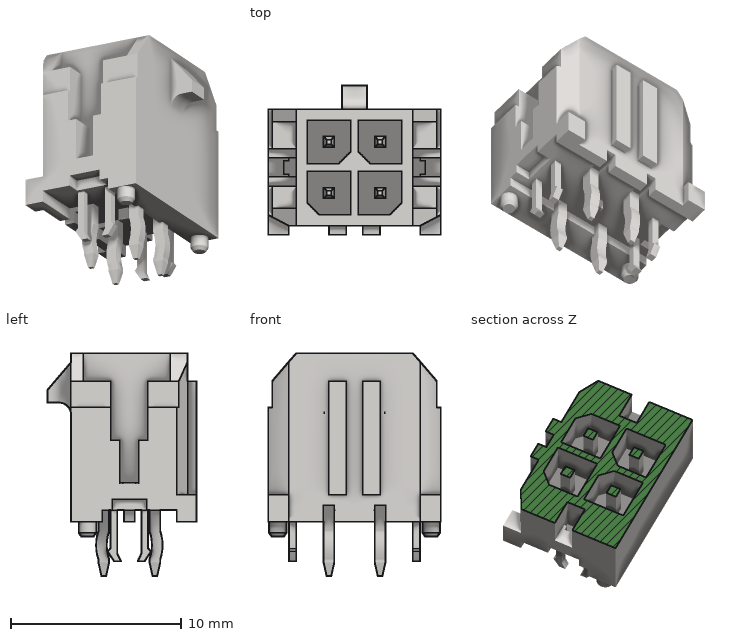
import cadquery as cq
import math


ROWS = 2
COLUMNS = 2
PITCH = 3.0
PIN_SIZE = 0.64
PIN_TIP_SIZE = 0.28
PIN_TOP = 7.0
PIN_TIP_LENGTH = 0.8
TAIL_BOTTOM = -3.19
BEND_START = -0.55
BEND_END = -2.2
BEND_OFFSET = 0.14

OVERALL_WIDTH = 10.15
UPPER_WIDTH = 9.68
CORE_WIDTH = 6.84
DEPTH = 6.85
HEIGHT = 9.9
UPPER_STEP_Z = 6.71
SHOULDER_Z = 8.25
FRONT_FLAT_WIDTH = 7.7
CORNER_DEPTH = 0.645
BACK_WING_INNER_Y = 2.69
FRONT_WING_INNER_Y = -2.4

SOCKET_SIZE = 2.55
SOCKET_CORNER = 0.7
SOCKET_FLOOR = 2.0

CUT_MARGIN = 1.0
UPPER_CHANNEL_WIDTH = 2.19
UPPER_CHANNEL_FLOOR = 4.79
LOWER_CHANNEL_WIDTH = 1.12
LOWER_CHANNEL_FLOOR = 2.29

STANDOFF = 0.68
CLEARANCE_BACK_Y = 1.58
PIN_SLOT_TOP = 0.97

FRONT_PROJECTION = 0.53
FOOT_HEIGHT = 1.59
RIB_INNER_X = 0.47
RIB_WIDTH = 1.03

LATCH_WIDTH = 1.48
LATCH_REACH = 1.39
LATCH_TOP = 9.36
LATCH_NOSE_TOP = 7.73
LATCH_NOSE_BOTTOM = 6.99
LATCH_FILLET = 0.7

PEG_X = 4.5
PEG_Y = 2.46
PEG_DIAMETER = 1.04
PEG_TIP_DIAMETER = 0.72
PEG_LENGTH = 0.87
PEG_TIP_LENGTH = 0.23

CLIP_OUTER_X = 3.85
CLIP_THICKNESS = 0.44
CLIP_LEG_OUTER_Y = 1.11
CLIP_LEG_WIDTH = 0.41
CLIP_BARB_Y = 1.28
CLIP_BARB_TOP = -1.57
CLIP_BARB_Z = -1.74
CLIP_BOTTOM = -2.33
CLIP_TOE_Y = 0.48
CLIP_INNER_BEND_Z = -1.87
CLIP_POCKET_WIDTH = 2.02
CLIP_POCKET_HEIGHT = 0.63
CLIP_POCKET_INNER_X = 4.145
CLIP_NOTCH_WIDTH = 0.78
CLIP_SEAT_FLOOR = 1.8

SIDES = (-1, 1)
half_width = OVERALL_WIDTH / 2
half_upper_width = UPPER_WIDTH / 2
half_core_width = CORE_WIDTH / 2
front_y = -DEPTH / 2
back_y = DEPTH / 2
projection_y = front_y - FRONT_PROJECTION
corner_y = front_y + CORNER_DEPTH


def box(x_range, y_range, z_range):
    """Box spanning the given pairs of limits."""
    size = [limits[1] - limits[0] for limits in (x_range, y_range, z_range)]
    corner = (x_range[0], y_range[0], z_range[0])
    return cq.Workplane("XY").box(*size, centered=False).translate(corner)


def centred(width, middle=0.0):
    """Pair of limits placed evenly about a middle value."""
    return (middle - width / 2, middle + width / 2)


def outward(side, inner, outer):
    """Pair of X limits on one side of the part."""
    return tuple(sorted((side * inner, side * outer)))


def extrude_along_x(points, x_range):
    """Prism whose (Y, Z) outline is closed by straight edges."""
    profile = cq.Workplane("YZ", origin=(x_range[0], 0, 0)).polyline(points).close()
    return profile.extrude(x_range[1] - x_range[0])


def contact_places():
    """X and Y of every contact centre."""
    for column in range(COLUMNS):
        for row in range(ROWS):
            x = (column - (COLUMNS - 1) / 2) * PITCH
            y = (row - (ROWS - 1) / 2) * PITCH
            yield x, y


def housing_shell():
    """Housing outline: stepped, sloped shoulders and two cut front corners."""
    silhouette = [
        (half_width, 0),
        (half_width, UPPER_STEP_Z),
        (half_upper_width, UPPER_STEP_Z),
        (half_upper_width, SHOULDER_Z),
        (half_core_width, HEIGHT),
    ]
    mirrored = [(-x, z) for x, z in reversed(silhouette)]
    shell = (
        cq.Workplane("XZ", origin=(0, back_y, 0))
        .polyline(silhouette + mirrored)
        .close()
        .extrude(DEPTH)
    )
    plan = [
        (half_width, back_y),
        (half_width, corner_y),
        (FRONT_FLAT_WIDTH / 2, front_y),
        (-FRONT_FLAT_WIDTH / 2, front_y),
        (-half_width, corner_y),
        (-half_width, back_y),
    ]
    return shell.intersect(cq.Workplane("XY").polyline(plan).close().extrude(HEIGHT))


def side_channel(side):
    """Space outside the core between the wings, narrowing in steps downwards."""
    x_range = outward(side, half_core_width, half_width + CUT_MARGIN)
    top = HEIGHT + CUT_MARGIN
    above_shoulder = box(x_range, (FRONT_WING_INNER_Y, BACK_WING_INNER_Y), (SHOULDER_Z, top))
    upper = box(x_range, centred(UPPER_CHANNEL_WIDTH), (UPPER_CHANNEL_FLOOR, top))
    lower = box(x_range, centred(LOWER_CHANNEL_WIDTH), (LOWER_CHANNEL_FLOOR, top))
    return above_shoulder.union(upper).union(lower)


def clip_pocket(side):
    """Pocket in the side face, just above the passage under the housing."""
    return box(
        outward(side, CLIP_POCKET_INNER_X, half_width),
        centred(CLIP_POCKET_WIDTH),
        (STANDOFF, STANDOFF + CLIP_POCKET_HEIGHT),
    )


def clip_seat(side):
    """Recess in the floor of a side channel, with a narrower notch facing out."""
    z_range = (CLIP_SEAT_FLOOR, LOWER_CHANNEL_FLOOR)
    seat = box(
        outward(side, half_core_width, CLIP_OUTER_X), centred(LOWER_CHANNEL_WIDTH), z_range
    )
    notch = box(
        outward(side, half_core_width, CLIP_POCKET_INNER_X), centred(CLIP_NOTCH_WIDTH), z_range
    )
    return seat.union(notch)


def socket(x, y):
    """Socket with one polarising corner on its front side."""
    is_left_column = x < 0
    is_front_row = y < 0
    corner_edge = "|Z and <X and <Y" if is_left_column == is_front_row else "|Z and >X and <Y"
    block = cq.Workplane("XY").box(SOCKET_SIZE, SOCKET_SIZE, HEIGHT, centered=(True, True, False))
    return block.edges(corner_edge).chamfer(SOCKET_CORNER).translate((x, y, SOCKET_FLOOR))


def underside_clearance():
    """Passage across the underside, leaving a small central pad."""
    passage = box(centred(OVERALL_WIDTH), (corner_y, CLEARANCE_BACK_Y), (0, STANDOFF))
    pad = box(centred(PIN_SIZE), centred(PIN_SIZE), (0, STANDOFF))
    return passage.cut(pad)


def foot(side):
    return box(
        outward(side, FRONT_FLAT_WIDTH / 2, half_width),
        (projection_y, corner_y),
        (0, FOOT_HEIGHT),
    )


def rib(side):
    return box(
        outward(side, RIB_INNER_X, RIB_INNER_X + RIB_WIDTH),
        (projection_y, front_y),
        (FOOT_HEIGHT, SHOULDER_Z),
    )


def latch():
    """Latch ramp on the back wall, blended into it with a concave arc."""
    nose_y = back_y + LATCH_REACH
    arc_centre_y = back_y + LATCH_FILLET
    arc_centre_z = LATCH_NOSE_BOTTOM - LATCH_FILLET
    diagonal = LATCH_FILLET * math.sqrt(0.5)
    return (
        cq.Workplane("YZ", origin=(-LATCH_WIDTH / 2, 0, 0))
        .moveTo(back_y, LATCH_TOP)
        .lineTo(nose_y, LATCH_NOSE_TOP)
        .lineTo(nose_y, LATCH_NOSE_BOTTOM)
        .lineTo(arc_centre_y, LATCH_NOSE_BOTTOM)
        .threePointArc((arc_centre_y - diagonal, arc_centre_z + diagonal), (back_y, arc_centre_z))
        .close()
        .extrude(LATCH_WIDTH)
    )


def peg(side):
    """Round locating peg with a tapered end."""
    radius = PEG_DIAMETER / 2
    tip_inset = (PEG_DIAMETER - PEG_TIP_DIAMETER) / 2
    post = cq.Workplane("XY").circle(radius).extrude(-PEG_LENGTH)
    post = post.faces("<Z").chamfer(PEG_TIP_LENGTH, tip_inset)
    return post.translate((side * PEG_X, PEG_Y, 0))


def pin_tip(x, y, base_z, end_z):
    """Square taper from the full pin section to its small end."""
    return (
        cq.Workplane("XY", origin=(x, y, base_z))
        .rect(PIN_SIZE, PIN_SIZE)
        .workplane(offset=end_z - base_z)
        .rect(PIN_TIP_SIZE, PIN_TIP_SIZE)
        .loft()
    )


def contact(x, y):
    """Straight pin above; the tail bows away from the centre and ends in a taper."""
    tail_taper_top = TAIL_BOTTOM + PIN_TIP_LENGTH
    bend_middle = (BEND_START + BEND_END) / 2
    bow = BEND_OFFSET if y > 0 else -BEND_OFFSET
    near, far = centred(PIN_SIZE, y)
    shaft_top = PIN_TOP - PIN_TIP_LENGTH
    shaft = (
        cq.Workplane("YZ", origin=(x - PIN_SIZE / 2, 0, 0))
        .moveTo(near, shaft_top)
        .lineTo(near, BEND_START)
        .threePointArc((near + bow, bend_middle), (near, BEND_END))
        .lineTo(near, tail_taper_top)
        .lineTo(far, tail_taper_top)
        .lineTo(far, BEND_END)
        .threePointArc((far + bow, bend_middle), (far, BEND_START))
        .lineTo(far, shaft_top)
        .close()
        .extrude(PIN_SIZE)
    )
    upper_tip = pin_tip(x, y, shaft_top, PIN_TOP)
    tail_tip = pin_tip(x, y, tail_taper_top, TAIL_BOTTOM)
    return shaft.union(upper_tip).union(tail_tip)


def pin_slot(x):
    """Slot through the front wall, ending at the front contact."""
    front_row_y = -(ROWS - 1) / 2 * PITCH
    return box(centred(PIN_SIZE, x), (front_y, front_row_y), (0, PIN_SLOT_TOP))


def clip(side):
    """Two barbed legs hanging from the housing beside the contacts."""
    leg_inner_y = CLIP_LEG_OUTER_Y - CLIP_LEG_WIDTH
    outline = [
        (CLIP_LEG_OUTER_Y, CLIP_SEAT_FLOOR),
        (CLIP_LEG_OUTER_Y, CLIP_BARB_TOP),
        (CLIP_BARB_Y, CLIP_BARB_Z),
        (CLIP_TOE_Y + CLIP_LEG_WIDTH, CLIP_BOTTOM),
        (CLIP_TOE_Y, CLIP_BOTTOM),
        (leg_inner_y, CLIP_INNER_BEND_Z),
        (leg_inner_y, CLIP_SEAT_FLOOR),
    ]
    x_range = outward(side, CLIP_OUTER_X - CLIP_THICKNESS, CLIP_OUTER_X)
    back_leg = extrude_along_x(outline, x_range)
    return back_leg.union(back_leg.mirror("XZ"))


def build_header():
    header = housing_shell().cut(underside_clearance())
    for side in SIDES:
        header = header.cut(side_channel(side)).cut(clip_pocket(side)).cut(clip_seat(side))
        header = header.union(foot(side)).union(rib(side)).union(peg(side))
        header = header.union(clip(side))
    header = header.union(latch())
    for x, y in contact_places():
        header = header.cut(socket(x, y)).cut(pin_slot(x))
    for x, y in contact_places():
        header = header.union(contact(x, y))
    return header


result = build_header()